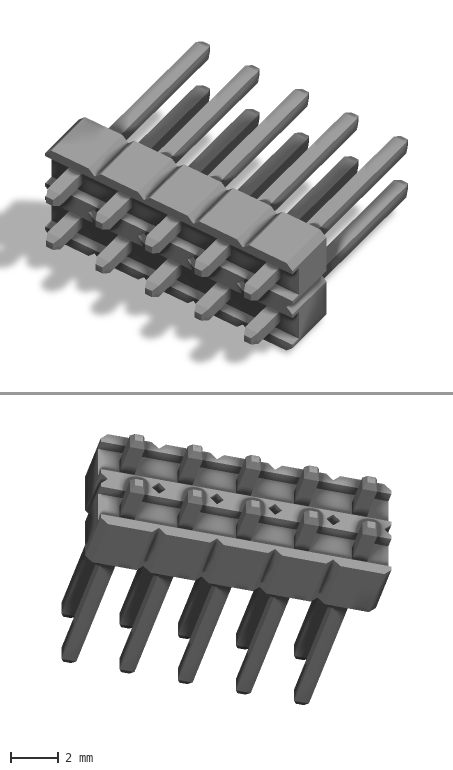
import cadquery as cq

columns = 5
rows = 2
pitch = 2.54

body_width = columns * pitch
body_height = rows * pitch
body_depth = 2.5
corner_cut = 0.3
channel_height = 1.55
channel_depth = 0.47

pin_side = 0.65
tip_side = 0.35
tip_length = 0.32
tail_length = 1.5
pin_length = 11.6

front_y = -body_depth / 2
pin_start_y = front_y - tail_length

column_centres = [(i - (columns - 1) / 2) * pitch for i in range(columns)]
row_centres = [(j - (rows - 1) / 2) * pitch for j in range(rows)]


def make_body():
    """Block with 45 degree notches along Y wherever cell corners meet."""
    body = cq.Workplane("XY").box(body_width, body_depth, body_height)
    cell_corners = [
        (i * pitch - body_width / 2, j * pitch - body_height / 2)
        for i in range(columns + 1)
        for j in range(rows + 1)
    ]
    notches = (
        cq.Workplane("XZ")
        .pushPoints(cell_corners)
        .polygon(4, 2 * corner_cut)
        .extrude(body_depth, both=True)
    )
    return body.cut(notches)


def make_channel(z):
    """Full-width channel in the front face, centred on one row of pins."""
    return (
        cq.Workplane("XY")
        .box(body_width, channel_depth, channel_height)
        .translate((0, front_y + channel_depth / 2, z))
    )


def make_pin(x, z):
    """Square pin along Y with a tapered tip on both ends."""
    shaft_length = pin_length - 2 * tip_length
    front_tip = (
        cq.Workplane("XZ", origin=(x, pin_start_y + tip_length, z))
        .rect(pin_side, pin_side)
        .workplane(offset=tip_length)
        .rect(tip_side, tip_side)
        .loft()
    )
    mid_y = pin_start_y + pin_length / 2
    back_tip = front_tip.mirror("XZ", (0, mid_y, 0))
    shaft = cq.Workplane("XY").box(pin_side, shaft_length, pin_side).translate((x, mid_y, z))
    return shaft.union(front_tip).union(back_tip)


result = make_body()
for row_z in row_centres:
    result = result.cut(make_channel(row_z))
for row_z in row_centres:
    for column_x in column_centres:
        result = result.union(make_pin(column_x, row_z))